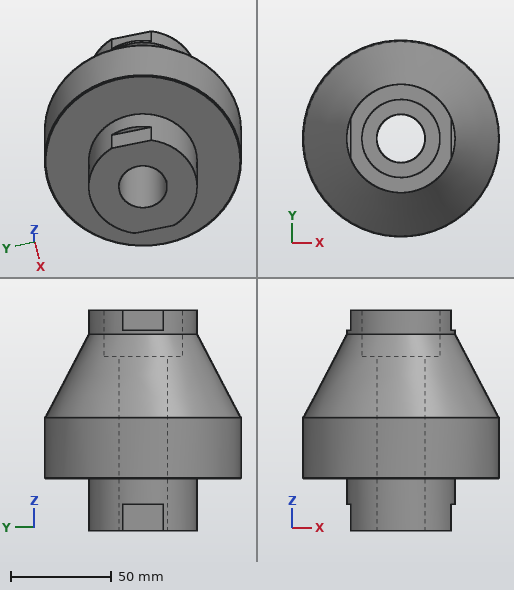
import cadquery as cq

total_height = 110.0
body_diameter = 98.0
neck_diameter = 54.0
bore_diameter = 24.0
socket_diameter = 38.9
socket_depth = 23.0
body_bottom = 26.0
body_top = 57.0
cone_top = 98.0
edge_chamfer = 0.5
flat_spacing = 50.0
upper_flat_height = 10.0
lower_flat_height = 13.2

body_radius = body_diameter / 2
neck_radius = neck_diameter / 2


def turned_body():
    """Revolve the outer outline: lower neck, wide cylinder, cone, upper neck."""
    return (
        cq.Workplane("XZ")
        .moveTo(0, 0)
        .lineTo(neck_radius, 0)
        .lineTo(neck_radius, body_bottom)
        .lineTo(body_radius - edge_chamfer, body_bottom)
        .lineTo(body_radius, body_bottom + edge_chamfer)
        .lineTo(body_radius, body_top - edge_chamfer)
        .lineTo(body_radius - edge_chamfer, body_top)
        .lineTo(neck_radius, cone_top)
        .lineTo(neck_radius, total_height)
        .lineTo(0, total_height)
        .close()
        .revolve(360, (0, 0, 0), (0, 1, 0))
    )


def wrench_flats(bottom, height):
    """Material to remove on both X sides of a neck to leave two parallel flats."""
    base = cq.Workplane("XY").workplane(offset=bottom)
    keep = base.rect(flat_spacing, neck_diameter).extrude(height)
    neck = base.rect(neck_diameter, neck_diameter).extrude(height)
    return neck.cut(keep)


result = turned_body()

result = result.faces(">Z").workplane().cboreHole(bore_diameter, socket_diameter, socket_depth)

result = result.cut(wrench_flats(0, lower_flat_height))
result = result.cut(wrench_flats(total_height - upper_flat_height, upper_flat_height))